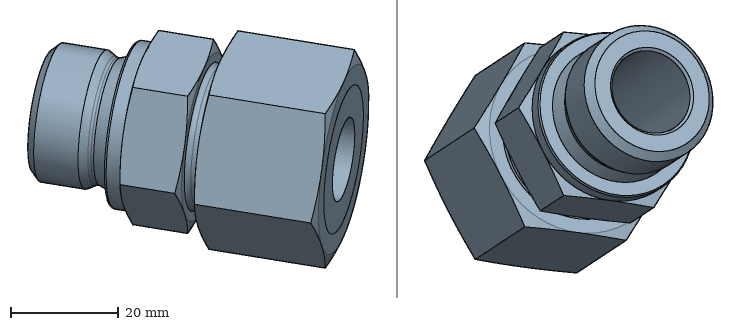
import cadquery as cq
import math

TOTAL_LENGTH = 58.0
STUD_TIP_X = 0.0
STUD_CHAMFER_END_X = 1.55
THREAD_END_X = 10.15
SEAL_START_X = 12.9
COLLAR_START_X = 15.95
HEX_START_X = 19.0
HEX_END_X = 31.0
NUT_START_X = 34.0
NECK_END_X = 34.7

BODY_HEX_FLATS = 32.0
NUT_HEX_FLATS = 36.0
HEX_CHAMFER_ANGLE = math.radians(15.0)
HEX_SIDES = 6

STUD_RADIUS = 13.2
STUD_TIP_RADIUS = 11.7
UNDERCUT_RADIUS = 12.1
UNDERCUT_ANGLE = math.radians(30.0)
UNDERCUT_FILLET = 1.15
COLLAR_RADIUS = BODY_HEX_FLATS / 2
COLLAR_CHAMFER_LENGTH = 0.4
COLLAR_CHAMFER_DEPTH = 0.25
NECK_RADIUS = 13.5
NECK_FILLET_LENGTH = 1.1
NECK_FILLET_HEIGHT = 0.65
NUT_THREAD_RADIUS = 14.15
NUT_THREAD_CHAMFER_ANGLE = math.radians(30.0)

BORE_RADIUS = 8.0
BORE_CHAMFER = 0.5

NUT_MOUTH_CHAMFER = 1.15

SEAL_OUTER_RADIUS = STUD_RADIUS


def revolve_about_x(profile):
    """Turn a closed profile, drawn as (x, radius), around the X axis."""
    return profile.close().revolve(360, (0, 0, 0), (1, 0, 0))


def chamfered_hex(start_x, end_x, across_flats):
    """Hexagonal prism along X whose corners are turned off conically at both ends."""
    face_radius = across_flats / 2
    corner_radius = face_radius / math.cos(math.pi / HEX_SIDES)
    chamfer_length = (corner_radius - face_radius) * math.tan(HEX_CHAMFER_ANGLE)
    prism = (
        cq.Workplane("YZ", origin=(start_x, 0, 0))
        .polygon(HEX_SIDES, 2 * corner_radius)
        .extrude(end_x - start_x)
    )
    envelope = revolve_about_x(
        cq.Workplane("XY")
        .moveTo(start_x, 0)
        .lineTo(start_x, face_radius)
        .lineTo(start_x + chamfer_length, corner_radius)
        .lineTo(end_x - chamfer_length, corner_radius)
        .lineTo(end_x, face_radius)
        .lineTo(end_x, 0)
    )
    return prism.intersect(envelope)


def make_stud():
    """Threaded stud with its tip chamfer and filleted undercut."""
    fillet_drop = UNDERCUT_FILLET * (1 - math.cos(UNDERCUT_ANGLE))
    fillet_start_radius = UNDERCUT_RADIUS + fillet_drop
    cone_length = (STUD_RADIUS - fillet_start_radius) / math.tan(UNDERCUT_ANGLE)
    fillet_start_x = THREAD_END_X + cone_length
    fillet_end_x = fillet_start_x + UNDERCUT_FILLET * math.sin(UNDERCUT_ANGLE)
    return revolve_about_x(
        cq.Workplane("XY")
        .moveTo(STUD_TIP_X, 0)
        .lineTo(STUD_TIP_X, STUD_TIP_RADIUS)
        .lineTo(STUD_CHAMFER_END_X, STUD_RADIUS)
        .lineTo(THREAD_END_X, STUD_RADIUS)
        .lineTo(fillet_start_x, fillet_start_radius)
        .radiusArc((fillet_end_x, UNDERCUT_RADIUS), -UNDERCUT_FILLET)
        .lineTo(COLLAR_START_X, UNDERCUT_RADIUS)
        .lineTo(COLLAR_START_X, 0)
    )


def make_collar():
    """Round collar between the seal and the hexagon, chamfered on its sealing side."""
    return revolve_about_x(
        cq.Workplane("XY")
        .moveTo(COLLAR_START_X, 0)
        .lineTo(COLLAR_START_X, COLLAR_RADIUS - COLLAR_CHAMFER_DEPTH)
        .lineTo(COLLAR_START_X + COLLAR_CHAMFER_LENGTH, COLLAR_RADIUS)
        .lineTo(HEX_START_X, COLLAR_RADIUS)
        .lineTo(HEX_START_X, 0)
    )


def make_neck():
    """Neck that leaves the hexagon through a concave fillet and widens into the nut's thread."""
    fillet_radius = (NECK_FILLET_LENGTH**2 + NECK_FILLET_HEIGHT**2) / (2 * NECK_FILLET_HEIGHT)
    chamfer_length = (NUT_THREAD_RADIUS - NECK_RADIUS) / math.tan(NUT_THREAD_CHAMFER_ANGLE)
    return revolve_about_x(
        cq.Workplane("XY")
        .moveTo(HEX_END_X, 0)
        .lineTo(HEX_END_X, NECK_RADIUS + NECK_FILLET_HEIGHT)
        .radiusArc((HEX_END_X + NECK_FILLET_LENGTH, NECK_RADIUS), -fillet_radius)
        .lineTo(NECK_END_X, NECK_RADIUS)
        .lineTo(NECK_END_X + chamfer_length, NUT_THREAD_RADIUS)
        .lineTo(TOTAL_LENGTH, NUT_THREAD_RADIUS)
        .lineTo(TOTAL_LENGTH, 0)
    )


def make_bore():
    """Cutter for the through bore, widened by a chamfer at the stud tip."""
    return revolve_about_x(
        cq.Workplane("XY")
        .moveTo(STUD_TIP_X, 0)
        .lineTo(STUD_TIP_X, BORE_RADIUS + BORE_CHAMFER)
        .lineTo(STUD_TIP_X + BORE_CHAMFER, BORE_RADIUS)
        .lineTo(TOTAL_LENGTH, BORE_RADIUS)
        .lineTo(TOTAL_LENGTH, 0)
    )


def make_fitting_body():
    """Stud, collar, hexagon and neck in one piece, bored through."""
    hexagon = chamfered_hex(HEX_START_X, HEX_END_X, BODY_HEX_FLATS)
    outside = make_stud().union(make_collar()).union(hexagon).union(make_neck())
    return outside.cut(make_bore())


def make_seal_ring():
    """Tapered seal that sits in the undercut against the collar."""
    return revolve_about_x(
        cq.Workplane("XY")
        .moveTo(SEAL_START_X, UNDERCUT_RADIUS)
        .lineTo(COLLAR_START_X, SEAL_OUTER_RADIUS)
        .lineTo(COLLAR_START_X, UNDERCUT_RADIUS)
    )


def make_union_nut():
    """Hexagonal nut around the thread, with a countersunk mouth facing the body."""
    thread_hole = revolve_about_x(
        cq.Workplane("XY")
        .moveTo(NUT_START_X, 0)
        .lineTo(NUT_START_X, NUT_THREAD_RADIUS + NUT_MOUTH_CHAMFER)
        .lineTo(NUT_START_X + NUT_MOUTH_CHAMFER, NUT_THREAD_RADIUS)
        .lineTo(TOTAL_LENGTH, NUT_THREAD_RADIUS)
        .lineTo(TOTAL_LENGTH, 0)
    )
    return chamfered_hex(NUT_START_X, TOTAL_LENGTH, NUT_HEX_FLATS).cut(thread_hole)


fitting_body = make_fitting_body()
seal_ring = make_seal_ring()
union_nut = make_union_nut()

result = cq.Compound.makeCompound([fitting_body.val(), seal_ring.val(), union_nut.val()])